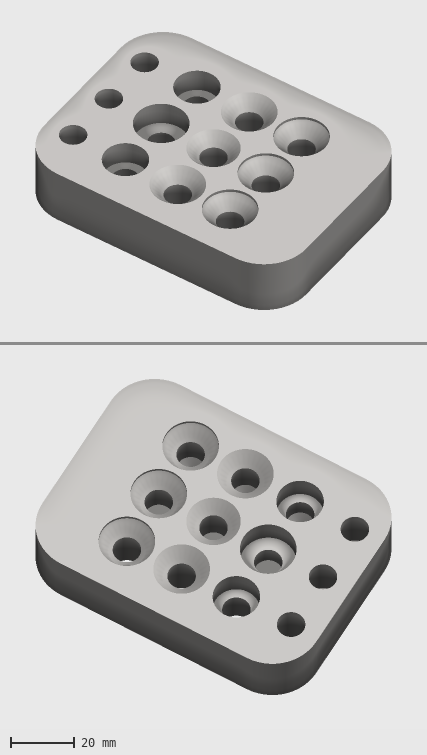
import cadquery as cq
import math

length = 100.0
width = 75.0
thickness = 20.0
corner_radius = 16.0

pitch = 20.0
first_column_x = -40.0
plain_x, counterbore_x, countersink_x, recessed_x = [first_column_x + i * pitch for i in range(4)]
through_y, flat_y, drilled_y = pitch, 0.0, -pitch

hole_diameter = 9.0
blind_depth = 15.0
drill_point_angle = 118.0
counterbore_diameter = 15.0
large_counterbore_diameter = 17.9
counterbore_depth = 8.4
countersink_diameter = 17.9
small_countersink_diameter = 17.2
countersink_angle = 90.0
recess_depth = 1.0


def cone_height(large_diameter, small_diameter, angle):
    return (large_diameter - small_diameter) / 2 / math.tan(math.radians(angle / 2))


def cylinder(x, y, diameter, depth):
    """Cylinder reaching down from the top face."""
    return cq.Workplane("XY", origin=(x, y, thickness - depth)).circle(diameter / 2).extrude(depth)


def cone(x, y, top_z, large_diameter, small_diameter, angle):
    """Cone narrowing downwards from top_z."""
    height = cone_height(large_diameter, small_diameter, angle)
    solid = cq.Solid.makeCone(
        large_diameter / 2, small_diameter / 2, height, cq.Vector(x, y, top_z), cq.Vector(0, 0, -1)
    )
    return cq.Workplane(obj=solid)


def hole(x, y):
    """Core hole whose bottom is set by its row: through, flat or drill-pointed."""
    if y == through_y:
        return cylinder(x, y, hole_diameter, thickness)
    core = cylinder(x, y, hole_diameter, blind_depth)
    if y == drilled_y:
        core = core.union(cone(x, y, thickness - blind_depth, hole_diameter, 0, drill_point_angle))
    return core


plate = (
    cq.Workplane("XY")
    .rect(length, width)
    .extrude(thickness)
    .edges("|Z")
    .fillet(corner_radius)
)

for y in (through_y, flat_y, drilled_y):
    for x in (plain_x, counterbore_x, countersink_x, recessed_x):
        plate = plate.cut(hole(x, y))

    bore = large_counterbore_diameter if y == flat_y else counterbore_diameter
    plate = plate.cut(cylinder(counterbore_x, y, bore, counterbore_depth))

    sink = small_countersink_diameter if y == flat_y else countersink_diameter
    plate = plate.cut(cone(countersink_x, y, thickness, sink, hole_diameter, countersink_angle))

    plate = plate.cut(cylinder(recessed_x, y, countersink_diameter, recess_depth))
    recess_floor = thickness - recess_depth
    plate = plate.cut(
        cone(recessed_x, y, recess_floor, countersink_diameter, hole_diameter, countersink_angle)
    )

result = plate